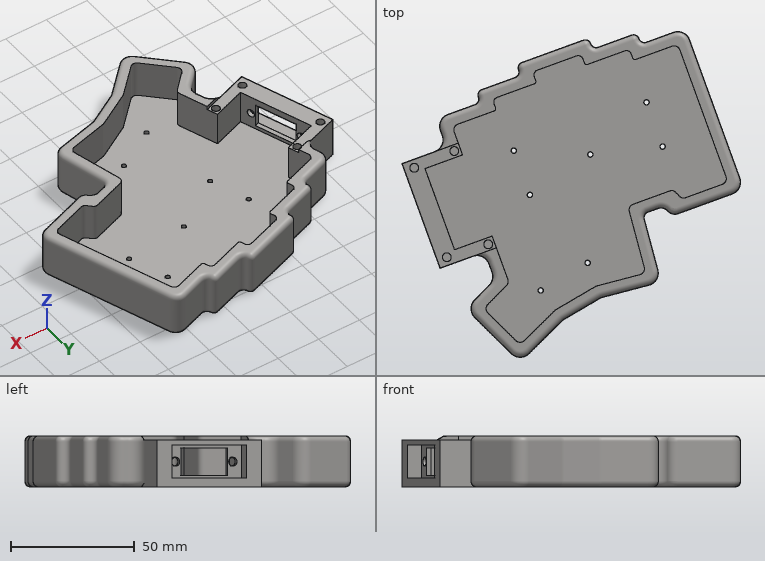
import math

import cadquery as cq

TURN = 20

HEIGHT = 20.6
FLOOR = 3.0
WALL = 5.0
EDGE_ROUND = 2.3
CASE_ROUND = 5.0
STEP_ROUND = 2.3
STEP_SLANT_ROUND = 3.7
CAVITY_ROUND = 2.5
CAVITY_STEP_ROUND = 2.0
CAVITY_INNER_ROUND = 1.0

PITCH = 19.0
STAGGER = PITCH / 4
LEFT = 24.2
RIGHT = 121.1
TOP = 52.2
BOTTOM = -7.1
NOTCH = BOTTOM + STAGGER

CAVITY_STEP_FOOT = 101.5
CAVITY_STEP_HEAD = 99.3
CASE_STEP_FOOT = 95.5
CASE_STEP_HEAD = 93.2

BOX_WIDTH = 45.0
BOX_HEIGHT = 19.0
BOX_FRONT_WALL = 8.0
BOX_SIDE_WALL = 5.0

OPENING_Z = 10.3
RECESS_WIDTH = 32.0
RECESS_HEIGHT = 13.4
RECESS_DEPTH = 6.0
WINDOW_WIDTH = 20.1
WINDOW_HEIGHT = 11.1
CONNECTOR_HOLE_SPACING = 24.6

SCREW_DIAMETER = 3.5
SCREW_DEPTH = 10.0
SCREW_FRONT_X = 4.1
SCREW_BACK_X = 21.6
SCREW_FRONT_INSET = 3.3
SCREW_BACK_INSET = 2.5

MOUNT_DIAMETER = 2.0
MOUNT_CENTER_X = 72.7
MOUNT_CENTER_Y = 22.4
MOUNT_SPREAD = 1.5 * PITCH
MOUNT_FRONT_Y = 15.5
THUMB_MOUNTS = [(35.1, -22.3), (56.7, -18.3)]

CORNERS = [
    (LEFT, TOP, CAVITY_ROUND, CASE_ROUND),
    (LEFT + PITCH, TOP, CAVITY_INNER_ROUND, STEP_ROUND),
    (LEFT + PITCH, TOP + STAGGER, CAVITY_STEP_ROUND, STEP_ROUND),
    (LEFT + 2 * PITCH, TOP + STAGGER, CAVITY_INNER_ROUND, STEP_ROUND),
    (LEFT + 2 * PITCH, TOP + 2 * STAGGER, CAVITY_STEP_ROUND, STEP_ROUND),
    (RIGHT - 2 * PITCH, TOP + 2 * STAGGER, CAVITY_STEP_ROUND, STEP_ROUND),
    (RIGHT - 2 * PITCH, TOP + STAGGER, CAVITY_INNER_ROUND, STEP_ROUND),
    (RIGHT - PITCH, TOP + STAGGER, CAVITY_STEP_ROUND, STEP_ROUND),
    (RIGHT - PITCH, TOP, CAVITY_INNER_ROUND, STEP_ROUND),
    (RIGHT, TOP, CAVITY_ROUND, CASE_ROUND),
    (RIGHT, BOTTOM, CAVITY_ROUND, CASE_ROUND),
    (CAVITY_STEP_FOOT, BOTTOM, CAVITY_STEP_ROUND, STEP_SLANT_ROUND),
    (CAVITY_STEP_HEAD, NOTCH, CAVITY_STEP_ROUND, STEP_SLANT_ROUND),
    (79.9, NOTCH, CAVITY_ROUND, STEP_ROUND),
    (77.4, -30.2, CAVITY_ROUND, CASE_ROUND),
    (56.7, -28.3, CAVITY_ROUND, CASE_ROUND),
    (38.0, -31.7, CAVITY_ROUND, CASE_ROUND),
    (19.8, -40.0, CAVITY_ROUND, CASE_ROUND),
    (11.0, -21.3, CAVITY_ROUND, CASE_ROUND),
    (LEFT, -15.0, CAVITY_ROUND, CASE_ROUND),
]


def offset_corners(points, distance):
    """Move every side of a clockwise polygon outward and return the new mitred corners."""
    moved = []
    for i, point in enumerate(points):
        here = cq.Vector(*point)
        side_in = (here - cq.Vector(*points[i - 1])).normalized()
        side_out = (cq.Vector(*points[(i + 1) % len(points)]) - here).normalized()
        normal_in = cq.Vector(-side_in.y, side_in.x)
        normal_out = cq.Vector(-side_out.y, side_out.x)
        mitre = (normal_in + normal_out) * (distance / (1 + normal_in.dot(normal_out)))
        moved.append((here.x + mitre.x, here.y + mitre.y))
    return moved


def rounded_prism(points, radii, base, height):
    """Extrude a polygon whose corners are rounded, each with its own radius."""
    arcs = []
    for i, point in enumerate(points):
        corner = cq.Vector(*point)
        back = (cq.Vector(*points[i - 1]) - corner).normalized()
        ahead = (cq.Vector(*points[(i + 1) % len(points)]) - corner).normalized()
        half_angle = back.getAngle(ahead) / 2
        reach = radii[i] / math.tan(half_angle)
        arc_depth = radii[i] / math.sin(half_angle) - radii[i]
        bisector = (back + ahead).normalized()
        arcs.append((corner + back * reach, corner + bisector * arc_depth, corner + ahead * reach))
    outline = cq.Workplane("XY").workplane(offset=base).moveTo(arcs[0][2].x, arcs[0][2].y)
    for start, middle, end in arcs[1:] + arcs[:1]:
        outline = outline.lineTo(start.x, start.y).threePointArc((middle.x, middle.y), (end.x, end.y))
    return outline.close().extrude(height)


def block(x_start, x_end, y_middle, width, z_start, z_end):
    """A box along X, centred on y_middle."""
    size = (x_end - x_start, width, z_end - z_start)
    return cq.Workplane("XY").box(*size, centered=(False, True, False)).translate((x_start, y_middle, z_start))


def drilled_down(points, diameter, top, depth):
    """Cylinders that reach down from the height top, one per point."""
    return cq.Workplane("XY").workplane(offset=top).pushPoints(points).circle(diameter / 2).extrude(-depth)


cavity_corners = [(x, y) for x, y, _, _ in CORNERS]
cavity_radii = [radius for _, _, radius, _ in CORNERS]
box_middle = BOX_WIDTH / 2

case_corners = offset_corners(cavity_corners, WALL)
slanted_step = cavity_corners.index((CAVITY_STEP_FOOT, BOTTOM))
case_corners[slanted_step] = (CASE_STEP_FOOT, BOTTOM - WALL)
case_corners[slanted_step + 1] = (CASE_STEP_HEAD, NOTCH - WALL)

case_corners += [
    (LEFT - WALL, 0),
    (BOX_FRONT_WALL, 0),
    (BOX_FRONT_WALL, BOX_WIDTH),
    (LEFT - WALL, BOX_WIDTH),
]
neck_radii = [CASE_ROUND] * 4
case_radii = [radius for _, _, _, radius in CORNERS] + neck_radii

case = rounded_prism(case_corners, case_radii, 0, HEIGHT)
case = case.faces("<Z or >Z").edges().fillet(EDGE_ROUND)
case = case.cut(block(0, LEFT, box_middle, BOX_WIDTH, BOX_HEIGHT, HEIGHT))

case = case.union(block(0, LEFT, box_middle, BOX_WIDTH, 0, BOX_HEIGHT))

case = case.cut(rounded_prism(cavity_corners, cavity_radii, FLOOR, HEIGHT))
bay_width = BOX_WIDTH - 2 * BOX_SIDE_WALL
case = case.cut(block(BOX_FRONT_WALL, LEFT + WALL, box_middle, bay_width, FLOOR, HEIGHT))

for width, height, depth in (
    (RECESS_WIDTH, RECESS_HEIGHT, RECESS_DEPTH),
    (WINDOW_WIDTH, WINDOW_HEIGHT, BOX_FRONT_WALL),
):
    case = case.cut(block(0, depth, box_middle, width, OPENING_Z - height / 2, OPENING_Z + height / 2))
connector_holes = (
    cq.Workplane("YZ", origin=(0, box_middle, OPENING_Z))
    .rarray(CONNECTOR_HOLE_SPACING, 1.4, 2, 1)
    .circle(SCREW_DIAMETER / 2)
    .extrude(BOX_FRONT_WALL)
)
case = case.cut(connector_holes)

screws = [
    (x, y)
    for x, inset in ((SCREW_FRONT_X, SCREW_FRONT_INSET), (SCREW_BACK_X, SCREW_BACK_INSET))
    for y in (inset, BOX_WIDTH - inset)
]
case = case.cut(drilled_down(screws, SCREW_DIAMETER, BOX_HEIGHT, SCREW_DEPTH))

mounts = [(MOUNT_CENTER_X, MOUNT_CENTER_Y)] + THUMB_MOUNTS
for y in (MOUNT_FRONT_Y, MOUNT_FRONT_Y + PITCH):
    mounts += [(MOUNT_CENTER_X - MOUNT_SPREAD, y), (MOUNT_CENTER_X + MOUNT_SPREAD, y)]
case = case.cut(drilled_down(mounts, MOUNT_DIAMETER, FLOOR, FLOOR))

result = case.rotate((0, 0, 0), (0, 0, 1), TURN)